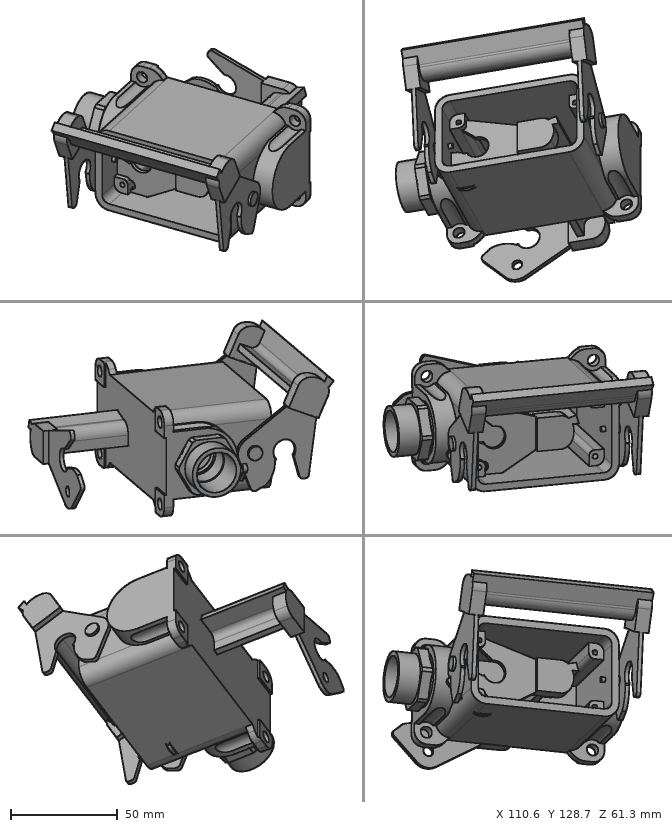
import cadquery as cq
import math


BODY_LENGTH = 73.1
BODY_HEIGHT = 43.4
BODY_DEPTH = 56.5
BODY_CORNER = 7.3
WALL = 3.6
CAVITY_CORNER = 3.9

POST_LENGTH = 7.3
POST_HEIGHT = 7.7
POST_CORNER = 2.6
POST_SETBACK = 11.7
SCREW_HOLE_DIA = 2.5
SCREW_X = 28.6
SCREW_Z = 13.5

BLOCK_END_X = 47.0
ENTRY_DEPTH = 19.2
BLOCK_RADIUS = 16.6
ENTRY_BORE_DIA = 18.9
WALL_BORE_DIA = 17.0

LUG_HOLE_X = 41.0
LUG_HOLE_Z = 20.2
LUG_HOLE_DIA = 5.5
LUG_RADIUS = BLOCK_END_X - LUG_HOLE_X
LUG_THICKNESS = 3.7
LUG_FLAT_END_X = 37.2
LUG_ARC_RADIUS = 7.7
PAD_HEIGHT = 0.9
PAD_INNER_X = 34.9
PAD_INNER_Z = 14.0
DRIVER_GROOVE_DIA = 10.0

PIVOT_Y = -46.2
PIVOT_SHAFT_DIA = 5.1
PIVOT_HOLE_DIA = 4.9
PIVOT_HEAD_DIA = 7.0
PIVOT_HEAD_THICKNESS = 1.3
PIVOT_TAIL_DIA = 2.5
PIVOT_TAIL_LENGTH = 1.9

GLAND_END_X = -63.6
GLAND_BORE_DIA = 19.7
BARREL_DIA = 24.0
NECK_DIA = 26.0
NECK_LENGTH = 1.2
NUT_LENGTH = 5.1
NUT_ACROSS_FLATS = 26.9
NUT_EDGE_CHAMFER = 1.2

LEVER_SPAN = 88.8
HUB_WIDTH = 7.1
ARM_INSET = 2.7
ARM_THICKNESS = 2.0
GRIP_WIDTH = 16.3
NOSE_START_N = 11.5
NOSE_JOIN_N = 16.6
NOSE_JOIN_F = 3.0
PIVOT_N = -25.9
PIVOT_F = -5.8
HEEL_RADIUS = 8.2
THROAT_N = -20.3
THROAT_F = 8.1
THROAT_RADIUS = 5.5
HEEL_START = (-21.7, -12.9)
HEEL_END = (-32.3, -11.0)
TOE = (-44.3, 1.4)
TOE_RADIUS = 1.9
BACK_START = (-38.6, 6.2)
BACK_MIDDLE = (-32.2, 7.2)
BACK_END = (-26.3, 5.5)
THROAT_LIP = (-20.7, 13.3)
FINGER_INNER = (-30.6, 21.5)
FINGER_OUTER = (-28.7, 25.1)
FINGER_RADIUS = 1.8
TAB_INNER_F = 11.8
TAB_TIP = (20.5, TAB_INNER_F)
TAB_OUTER = (19.2, 16.0)
BAR_BACK_N = 4.5
BAR_BOTTOM_F = 2.7
BAR_WALL = 3.2
BAR_CURVE_F = 8.2
BAR_OUTER_RADIUS = 5.7
BAR_STRIP_N = 11.3
FRONT_LEVER_TILT = 24.5
REAR_LEVER_X = 0.1
REAR_LEVER_Y = 44.0
REAR_LEVER_Z = -8.4

CORNERS = [(sx, sz) for sx in (-1, 1) for sz in (-1, 1)]
DIAGONAL = math.sqrt(0.5)


def xz_at(y):
    """Sketch plane facing -Y: local x is X and local y is Z."""
    return cq.Workplane("XZ", origin=(0, y, 0))


def x_cylinder(diameter, x_start, x_end, y):
    """Cylinder along X at height Z = 0."""
    return cq.Workplane("YZ", origin=(x_start, y, 0)).circle(diameter / 2).extrude(x_end - x_start)


def mirror_to(shape, sx, sz):
    """Reflect a shape from the +X, +Z corner into the corner with the given signs."""
    if sx < 0:
        shape = shape.mirror("YZ")
    if sz < 0:
        shape = shape.mirror("XY")
    return shape


def body():
    """Solid round-cornered body between the end blocks."""
    return xz_at(0).rect(BODY_LENGTH, BODY_HEIGHT).extrude(BODY_DEPTH).edges("|Y").fillet(BODY_CORNER)


def end_blocks():
    """D-shaped blocks at both ends, as one bar running through the body."""
    return (
        cq.Workplane("YZ", origin=(-BLOCK_END_X, 0, 0))
        .moveTo(0, -BLOCK_RADIUS)
        .lineTo(-ENTRY_DEPTH, -BLOCK_RADIUS)
        .threePointArc((-ENTRY_DEPTH - BLOCK_RADIUS, 0), (-ENTRY_DEPTH, BLOCK_RADIUS))
        .lineTo(0, BLOCK_RADIUS)
        .close()
        .extrude(2 * BLOCK_END_X)
    )


def lug_outline(y):
    """Lug in the +X, +Z corner: round about its hole, then sloping down to the body."""
    top = LUG_HOLE_Z + LUG_RADIUS
    slope_x = LUG_FLAT_END_X - LUG_ARC_RADIUS * DIAGONAL
    slope_z = top - LUG_ARC_RADIUS * (1 - DIAGONAL)
    body_drop = slope_z - (BODY_HEIGHT / 2 - WALL / 2)
    half_turn = math.radians(45) / 2
    arc_middle = (
        LUG_FLAT_END_X - LUG_ARC_RADIUS * math.sin(half_turn),
        top - LUG_ARC_RADIUS * (1 - math.cos(half_turn)),
    )
    return (
        xz_at(y)
        .moveTo(BLOCK_END_X, 0)
        .lineTo(BLOCK_END_X, LUG_HOLE_Z)
        .threePointArc(
            (LUG_HOLE_X + LUG_RADIUS * DIAGONAL, LUG_HOLE_Z + LUG_RADIUS * DIAGONAL),
            (LUG_HOLE_X, top),
        )
        .lineTo(LUG_FLAT_END_X, top)
        .threePointArc(arc_middle, (slope_x, slope_z))
        .lineTo(slope_x - body_drop, slope_z - body_drop)
        .lineTo(slope_x - body_drop, 0)
        .close()
    )


def lug():
    """Mounting lug with the raised pad on its back."""
    plate = lug_outline(0).extrude(LUG_THICKNESS)
    outer_z = LUG_HOLE_Z + LUG_RADIUS
    pad_zone = (
        xz_at(PAD_HEIGHT)
        .center((PAD_INNER_X + BLOCK_END_X) / 2, (PAD_INNER_Z + outer_z) / 2)
        .rect(BLOCK_END_X - PAD_INNER_X, outer_z - PAD_INNER_Z)
        .extrude(PAD_HEIGHT)
    )
    pad = lug_outline(PAD_HEIGHT).extrude(PAD_HEIGHT).intersect(pad_zone)
    return plate.union(pad)


def lug_hole():
    """Mounting hole through the lug and its pad."""
    circle = xz_at(PAD_HEIGHT).center(LUG_HOLE_X, LUG_HOLE_Z).circle(LUG_HOLE_DIA / 2)
    return circle.extrude(PAD_HEIGHT + LUG_THICKNESS)


def driver_groove():
    """Screwdriver clearance in front of the lug, cut into the end block only."""
    circle = xz_at(-LUG_THICKNESS).center(LUG_HOLE_X, LUG_HOLE_Z).circle(DRIVER_GROOVE_DIA / 2)
    return circle.extrude(BODY_DEPTH - LUG_THICKNESS)


def entry_bore():
    """Cable entry: wide through the -X block, stepping down through the wall into the cavity."""
    wall_x = -BODY_LENGTH / 2
    block_bore = x_cylinder(ENTRY_BORE_DIA, -BLOCK_END_X, wall_x, -ENTRY_DEPTH)
    wall_bore = x_cylinder(WALL_BORE_DIA, wall_x, wall_x + WALL, -ENTRY_DEPTH)
    return block_bore.union(wall_bore)


def cavity():
    """Hollow of the housing, open at the mouth and closed by the back wall."""
    return (
        xz_at(-WALL)
        .rect(BODY_LENGTH - 2 * WALL, BODY_HEIGHT - 2 * WALL)
        .extrude(BODY_DEPTH - WALL)
        .edges("|Y")
        .fillet(CAVITY_CORNER)
    )


def screw_post():
    """Post in the +X, +Z cavity corner, rounded on its free edge and drilled for a screw."""
    depth = BODY_DEPTH - POST_SETBACK - WALL
    center_x = BODY_LENGTH / 2 - WALL - POST_LENGTH / 2
    center_z = BODY_HEIGHT / 2 - WALL - POST_HEIGHT / 2
    return (
        xz_at(-WALL)
        .center(center_x, center_z)
        .rect(POST_LENGTH, POST_HEIGHT)
        .extrude(depth)
        .edges("|Y and <X and <Z")
        .fillet(POST_CORNER)
        .intersect(cavity())
        .cut(xz_at(-WALL).center(SCREW_X, SCREW_Z).circle(SCREW_HOLE_DIA / 2).extrude(depth))
    )


def pivot_pin():
    """Pin on the +X wall: tail inside, shaft up to the arm, thinner through it, head outside."""
    wall_x = BODY_LENGTH / 2
    arm_outer_x = LEVER_SPAN / 2 - ARM_INSET
    arm_inner_x = arm_outer_x - ARM_THICKNESS
    inside_x = wall_x - WALL
    tail = x_cylinder(PIVOT_TAIL_DIA, inside_x - PIVOT_TAIL_LENGTH, wall_x, PIVOT_Y)
    shaft = x_cylinder(PIVOT_SHAFT_DIA, wall_x - WALL / 2, arm_inner_x, PIVOT_Y)
    journal = x_cylinder(PIVOT_HOLE_DIA, arm_inner_x, arm_outer_x, PIVOT_Y)
    head = x_cylinder(PIVOT_HEAD_DIA, arm_outer_x, arm_outer_x + PIVOT_HEAD_THICKNESS, PIVOT_Y)
    return tail.union(shaft).union(journal).union(head)


def make_housing():
    """Housing before it is relieved for the lever that reaches in through its back."""
    blocks = end_blocks()
    for sx, sz in CORNERS:
        blocks = blocks.cut(mirror_to(driver_groove(), sx, sz))
        blocks = blocks.union(mirror_to(lug(), sx, sz))
        blocks = blocks.cut(mirror_to(lug_hole(), sx, sz))
    housing = body().union(blocks).cut(cavity()).cut(entry_bore())
    for sx, sz in CORNERS:
        housing = housing.union(mirror_to(screw_post(), sx, sz))
    for sx in (-1, 1):
        housing = housing.union(mirror_to(pivot_pin(), sx, 1))
    return housing


def make_gland():
    """Hollow cable gland: barrel, hexagon with blunted edges and neck against the block."""
    neck_x = -BLOCK_END_X - NECK_LENGTH
    nut_x = neck_x - NUT_LENGTH
    nut = (
        cq.Workplane("YZ", origin=(nut_x, -ENTRY_DEPTH, 0))
        .polygon(6, NUT_ACROSS_FLATS / math.cos(math.pi / 6))
        .extrude(NUT_LENGTH)
        .edges("|X")
        .chamfer(NUT_EDGE_CHAMFER)
    )
    barrel = x_cylinder(BARREL_DIA, GLAND_END_X, nut_x, -ENTRY_DEPTH)
    neck = x_cylinder(NECK_DIA, neck_x, -BLOCK_END_X, -ENTRY_DEPTH)
    bore = x_cylinder(GLAND_BORE_DIA, GLAND_END_X, -BLOCK_END_X, -ENTRY_DEPTH)
    return barrel.union(nut).union(neck).cut(bore)


def arm_plate():
    """Lever arm: heel round the pivot, toe, throat that hooks over a peg, and finger."""
    arm = (
        cq.Workplane("XY")
        .lineTo(*HEEL_START)
        .threePointArc((PIVOT_N, PIVOT_F - HEEL_RADIUS), HEEL_END)
        .lineTo(*TOE)
        .lineTo(*BACK_START)
        .threePointArc(BACK_MIDDLE, BACK_END)
        .lineTo(THROAT_N, THROAT_F)
        .lineTo(*THROAT_LIP)
        .lineTo(*FINGER_INNER)
        .lineTo(*FINGER_OUTER)
        .lineTo(0, GRIP_WIDTH)
        .close()
        .extrude(ARM_THICKNESS)
    )
    for corner, radius in [(TOE, TOE_RADIUS), (FINGER_INNER, FINGER_RADIUS), (FINGER_OUTER, FINGER_RADIUS)]:
        nearest = cq.selectors.NearestToPointSelector((*corner, ARM_THICKNESS / 2))
        arm = arm.edges(nearest).fillet(radius)
    throat = cq.Workplane("XY").center(THROAT_N, THROAT_F).circle(THROAT_RADIUS).extrude(ARM_THICKNESS)
    pivot_hole = cq.Workplane("XY").center(PIVOT_N, PIVOT_F).circle(PIVOT_HOLE_DIA / 2).extrude(ARM_THICKNESS)
    return arm.cut(throat).cut(pivot_hole)


def hub():
    """Block that joins an arm to the grip bar: rounded corners running into a rounder nose."""
    return (
        cq.Workplane("XY")
        .lineTo(NOSE_START_N, 0)
        .tangentArcPoint((NOSE_JOIN_N, NOSE_JOIN_F), relative=False)
        .tangentArcPoint((NOSE_JOIN_N, GRIP_WIDTH - NOSE_JOIN_F), relative=False)
        .tangentArcPoint((NOSE_START_N, GRIP_WIDTH), relative=False)
        .lineTo(0, GRIP_WIDTH)
        .close()
        .extrude(HUB_WIDTH)
    )


def grip_bar():
    """Curved grip whose outer end is a straight strip ending in the lever's tab."""
    inner_radius = TAB_INNER_F - BAR_CURVE_F
    outer_n = BAR_BACK_N + BAR_OUTER_RADIUS
    inner_back_n = BAR_BACK_N + BAR_WALL
    inner_n = inner_back_n + inner_radius
    crest_f = BAR_CURVE_F + BAR_OUTER_RADIUS
    return (
        cq.Workplane("XY")
        .moveTo(BAR_BACK_N, BAR_BOTTOM_F)
        .lineTo(BAR_BACK_N, BAR_CURVE_F)
        .threePointArc(
            (outer_n - BAR_OUTER_RADIUS * DIAGONAL, BAR_CURVE_F + BAR_OUTER_RADIUS * DIAGONAL),
            (outer_n, crest_f),
        )
        .lineTo(BAR_STRIP_N, crest_f)
        .lineTo(*TAB_OUTER)
        .lineTo(*TAB_TIP)
        .lineTo(inner_n, TAB_INNER_F)
        .threePointArc(
            (inner_n - inner_radius * DIAGONAL, BAR_CURVE_F + inner_radius * DIAGONAL),
            (inner_back_n, BAR_CURVE_F),
        )
        .lineTo(inner_back_n, BAR_BOTTOM_F)
        .close()
        .extrude(LEVER_SPAN)
    )


def make_lever(n_direction, span_direction, origin):
    """One lever, its fold corner at the origin and its bar along the span direction."""
    lever = grip_bar()
    lever = lever.union(hub()).union(hub().translate((0, 0, LEVER_SPAN - HUB_WIDTH)))
    for start in (ARM_INSET, LEVER_SPAN - ARM_INSET - ARM_THICKNESS):
        lever = lever.union(arm_plate().translate((0, 0, start)))
    place = cq.Location(cq.Plane(origin=origin, xDir=n_direction, normal=span_direction))
    return cq.Workplane(lever.val().moved(place))


def make_front_lever():
    """Lever carried on the housing pivots, swung open above the mouth."""
    tilt = math.radians(FRONT_LEVER_TILT)
    n_y, n_z = -math.sin(tilt), math.cos(tilt)
    f_y, f_z = -math.cos(tilt), -math.sin(tilt)
    origin_y = PIVOT_Y - PIVOT_N * n_y - PIVOT_F * f_y
    origin_z = -PIVOT_N * n_z - PIVOT_F * f_z
    return make_lever((0, n_y, n_z), (1, 0, 0), (-LEVER_SPAN / 2, origin_y, origin_z))


front_lever = make_front_lever()
rear_lever = make_lever((1, 0, 0), (0, -1, 0), (REAR_LEVER_X, REAR_LEVER_Y, REAR_LEVER_Z))
rear_lever = rear_lever.cut(front_lever)
housing = make_housing().cut(rear_lever)
gland = make_gland()

bodies = [housing, gland, front_lever, rear_lever]
result = cq.Compound.makeCompound([part.solids().val() for part in bodies])